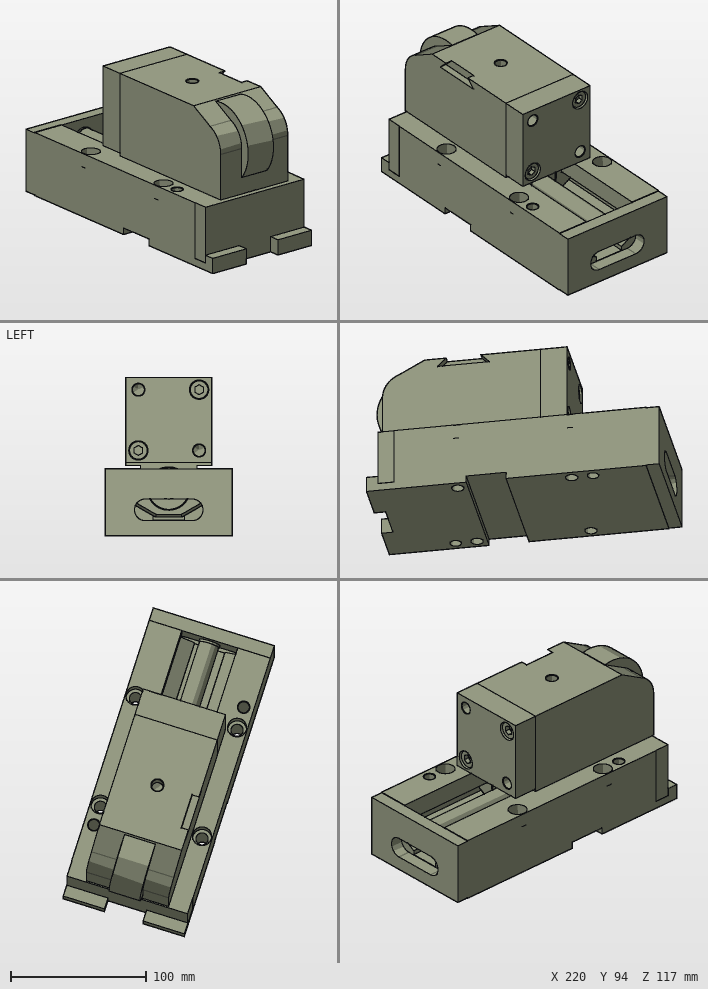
import cadquery as cq
import math


SLOPE = math.tan(math.radians(30))
DRILL_TIP_SLOPE = math.tan(math.radians(31))

base_length = 220.0
base_width = 94.0
base_height = 50.0
front_plate_thickness = 10.0
front_plate_inset = 0.5
block_end = 211.5
foot_height = 12.0
foot_slot_width = 30.0
side_relief_start = 199.0
side_relief_bottom = 6.0
side_relief_depth = 0.2
cross_slot_start = 115.0
cross_slot_width = 30.0
cross_slot_height = 5.3
window_width = 50.5
window_height = 16.0
window_bottom = 11.2

guide_neck_width = 43.3
guide_width = 58.5
guide_shoulder_z = 35.5
guide_corner_z = 25.0
guide_floor_width = 23.5
guide_floor_z = 11.7

hole_row_y = 39.4
screw_hole_xs = (67.0, 152.7)
screw_hole_diameter = 9.0
counterbore_diameter = 14.0
counterbore_depth = 11.0
dowel_hole_diameter = 8.4
dowel_hole_chamfer = 0.5
dowel_hole_places = ((51.0, hole_row_y), (168.7, -hole_row_y))

total_height = 117.0
slide_width = 63.8
slide_end = 210.8
cap_start = 72.0
cap_thickness = 20.0
cap_bottom_z = 54.1
block_start = cap_start + cap_thickness
block_bottom_z = 52.0
slope_start = 178.9
slope_length = 19.4
slope_drop = 10.5
nose_radius = 20.0
slide_neck_width = 41.8
slide_foot_z = 13.9
slide_lead_chamfer = 2.0
side_pocket_x = 149.8
side_pocket_top_width = 26.0
side_pocket_floor_width = 39.2
side_pocket_height = 6.5
side_pocket_depth = 5.5

roller_radius = 31.5
roller_width = 24.0
roller_x = 187.0
roller_z = total_height - roller_radius

tapped_hole_diameter = 8.8
tapped_hole_depth = 13.2
tapped_hole_chamfer = 0.5
top_hole_x = 137.7
cap_center_z = (total_height + cap_bottom_z) / 2
cap_hole_offset = 22.5
cap_counterbore_diameter = 14.3
cap_counterbore_depth = 9.5
screw_head_diameter = 13.0
screw_head_recess = 1.5
hex_across_flats = 6.4
hex_depth = 4.0

spring_z = 35.0
spring_radius = 16.0
spring_end = 206.0
spring_groove_size = 0.7
rod_radius = 7.5
rod_tip_radius = 8.0
rod_tip_length = 1.8


def box(x_min, x_max, y_min, y_max, z_min, z_max):
    """Block between two opposite corners."""
    size = (x_max - x_min, y_max - y_min, z_max - z_min)
    return cq.Workplane("XY").box(*size, centered=False).translate((x_min, y_min, z_min))


def centered_box(x_min, x_max, width, z_min, z_max):
    """Block that is symmetric about Y = 0."""
    return box(x_min, x_max, -width / 2, width / 2, z_min, z_max)


def cylinder_along_x(radius, x_min, x_max, y, z):
    """Cylinder between two X positions, with its axis at (y, z)."""
    return cq.Workplane("YZ", origin=(x_min, y, z)).circle(radius).extrude(x_max - x_min)


def symmetric_prism(half_outline, x_min, x_max):
    """Extrude along X an outline given by the (y, z) points of its +Y half."""
    mirrored = [(-y, z) for y, z in reversed(half_outline)]
    outline = cq.Workplane("YZ", origin=(x_min, 0, 0)).polyline(half_outline + mirrored).close()
    return outline.extrude(x_max - x_min)


def guide_slope_z(y):
    """Height of the V faces of the guideway at a distance y from the center."""
    return guide_corner_z - (guide_width / 2 - y) * SLOPE


def tapped_hole():
    """Blind hole tool along -Z from the origin, with a chamfered mouth and a drill point."""
    radius = tapped_hole_diameter / 2
    mouth_radius = radius + tapped_hole_chamfer
    tip_depth = tapped_hole_depth + radius * DRILL_TIP_SLOPE
    profile = [
        (0, 0),
        (mouth_radius, 0),
        (radius, -tapped_hole_chamfer),
        (radius, -tapped_hole_depth),
        (0, -tip_depth),
    ]
    return cq.Workplane("XZ").polyline(profile).close().revolve(360, (0, 0, 0), (0, 1, 0))


def spring_body():
    """Spring cylinder; it also serves to cut its seat in the base."""
    return cylinder_along_x(spring_radius, block_start, spring_end, 0, spring_z)


def guideway():
    """Space removed from the base for the slide."""
    floor_half = guide_floor_width / 2
    half_outline = [
        (floor_half, guide_floor_z),
        (floor_half, guide_slope_z(floor_half)),
        (guide_width / 2, guide_corner_z),
        (guide_width / 2, guide_shoulder_z),
        (guide_neck_width / 2, guide_shoulder_z),
        (guide_neck_width / 2, base_height),
    ]
    return symmetric_prism(half_outline, front_plate_thickness, side_relief_start)


def front_window():
    """Round-ended opening through the front plate."""
    center_z = window_bottom + window_height / 2
    plane = cq.Workplane("YZ", origin=(0, 0, center_z))
    return plane.slot2D(window_width, window_height).extrude(front_plate_thickness)


def make_base():
    base = centered_box(front_plate_thickness, block_end, base_width, 0, base_height)
    front_plate_top = base_height - front_plate_inset
    base = base.union(
        centered_box(0, front_plate_thickness, base_width, front_plate_inset, front_plate_top)
    )
    base = base.union(centered_box(block_end, base_length, base_width, 0, foot_height))
    base = base.cut(guideway()).cut(front_window())
    base = base.cut(centered_box(block_end, base_length, foot_slot_width, 0, foot_height))
    cross_slot_end = cross_slot_start + cross_slot_width
    base = base.cut(
        centered_box(cross_slot_start, cross_slot_end, base_width, 0, cross_slot_height)
    )

    relief_inner_y = base_width / 2 - side_relief_depth
    relief = box(
        side_relief_start, block_end, relief_inner_y, base_width / 2, side_relief_bottom, base_height
    )
    base = base.cut(relief).cut(relief.mirror("XZ"))

    base = base.cut(spring_body())

    screw_places = [(x, y) for x in screw_hole_xs for y in (-hole_row_y, hole_row_y)]
    top = cq.Workplane("XY", origin=(0, 0, base_height))
    base = base.cut(top.pushPoints(screw_places).circle(screw_hole_diameter / 2).extrude(-base_height))
    base = base.cut(
        top.pushPoints(screw_places).circle(counterbore_diameter / 2).extrude(-counterbore_depth)
    )
    dowel_hole = (
        cq.Workplane("XY")
        .circle(dowel_hole_diameter / 2 + dowel_hole_chamfer)
        .workplane(offset=-dowel_hole_chamfer)
        .circle(dowel_hole_diameter / 2)
        .loft()
        .union(cq.Workplane("XY").circle(dowel_hole_diameter / 2).extrude(-base_height))
    )
    for x, y in dowel_hole_places:
        base = base.cut(dowel_hole.translate((x, y, base_height)))
    return base


def slide_block():
    """Upper block of the slide with its sloped and rounded rear nose."""
    bend_x = slope_start + slope_length
    bend_z = total_height - slope_drop
    arc_center_x = slide_end - nose_radius
    arc_height = math.sqrt(nose_radius**2 - (bend_x - arc_center_x) ** 2)
    arc_center_z = bend_z - arc_height
    arc_mid_angle = math.asin(arc_height / nose_radius) / 2
    arc_middle = (
        arc_center_x + nose_radius * math.cos(arc_mid_angle),
        arc_center_z + nose_radius * math.sin(arc_mid_angle),
    )
    return (
        cq.Workplane("XZ", origin=(0, slide_width / 2, 0))
        .moveTo(block_start, block_bottom_z)
        .lineTo(block_start, total_height)
        .lineTo(slope_start, total_height)
        .lineTo(bend_x, bend_z)
        .threePointArc(arc_middle, (slide_end, arc_center_z))
        .lineTo(slide_end, block_bottom_z)
        .close()
        .extrude(slide_width)
    )


def slide_guide():
    """Lower part of the slide, which runs in the guideway."""
    foot_half = guide_width / 2 - (guide_corner_z - slide_foot_z) / SLOPE
    half_outline = [
        (foot_half, slide_foot_z),
        (guide_width / 2, guide_corner_z),
        (guide_width / 2, guide_shoulder_z),
        (slide_neck_width / 2, guide_shoulder_z),
        (slide_neck_width / 2, block_bottom_z),
    ]
    guide = symmetric_prism(half_outline, block_start, side_relief_start)
    below_corners = cq.selectors.BoxSelector(
        (cap_start, -guide_width / 2, 0),
        (block_end, guide_width / 2, guide_corner_z - slide_lead_chamfer),
    )
    return guide.faces("<X").edges(below_corners).chamfer(slide_lead_chamfer)


def gas_spring():
    """Spring cylinder with a rod whose collared tip bears on the front plate."""
    tip_end = front_plate_thickness + rod_tip_length
    rod = cylinder_along_x(rod_radius, front_plate_thickness, block_start, 0, spring_z)
    tip = cylinder_along_x(rod_tip_radius, front_plate_thickness, tip_end, 0, spring_z)
    return spring_body().union(rod).union(tip)


def spring_rim_groove():
    """Ring groove in the front face of the slide around the spring."""
    groove_end = block_start + spring_groove_size
    inner_radius = spring_radius - spring_groove_size
    ring = cylinder_along_x(spring_radius, block_start, groove_end, 0, spring_z)
    return ring.cut(cylinder_along_x(inner_radius, block_start, groove_end, 0, spring_z))


def make_slide():
    slide = slide_block().union(slide_guide())

    top_half = side_pocket_top_width / 2
    floor_half = side_pocket_floor_width / 2
    pocket = (
        cq.Workplane("XZ", origin=(side_pocket_x, slide_width / 2, total_height))
        .moveTo(-top_half, 0)
        .lineTo(top_half, 0)
        .lineTo(floor_half, -side_pocket_height)
        .lineTo(-floor_half, -side_pocket_height)
        .close()
        .extrude(side_pocket_depth)
    )
    slide = slide.cut(pocket)

    roller = cq.Workplane("XZ", origin=(roller_x, roller_width / 2, roller_z))
    slide = slide.union(roller.circle(roller_radius).extrude(roller_width))

    slide = slide.cut(tapped_hole().translate((top_hole_x, 0, total_height)))
    return slide.union(gas_spring()).cut(spring_rim_groove())


def cap_counterbore(y, z):
    """Ring-shaped space around a cap screw head, with the recess and hex socket in front of it."""
    bore_end = cap_start + cap_counterbore_depth
    head_front = cap_start + screw_head_recess
    space = cylinder_along_x(cap_counterbore_diameter / 2, cap_start, bore_end, y, z)
    space = space.cut(cylinder_along_x(screw_head_diameter / 2, head_front, bore_end, y, z))
    hex_corner_diameter = hex_across_flats / math.cos(math.radians(30))
    socket = (
        cq.Workplane("YZ", origin=(head_front, y, z))
        .transformed(rotate=(0, 0, 30))
        .polygon(6, hex_corner_diameter)
        .extrude(hex_depth)
    )
    return space.union(socket)


def make_cap():
    """Cap with two tapped holes and two screw heads in opposite corners."""
    cap = centered_box(cap_start, block_start, slide_width, cap_bottom_z, total_height)
    tapped = tapped_hole().rotate((0, 0, 0), (0, 1, 0), -90)
    for side in (1, -1):
        corner_y = side * cap_hole_offset
        corner_z = cap_center_z + side * cap_hole_offset
        cap = cap.cut(tapped.translate((cap_start, corner_y, corner_z)))
        cap = cap.cut(cap_counterbore(-corner_y, corner_z))
    return cap


base = make_base()
slide = make_slide()
cap = make_cap()

result = cq.Compound.makeCompound([body.solids().val() for body in (base, slide, cap)])